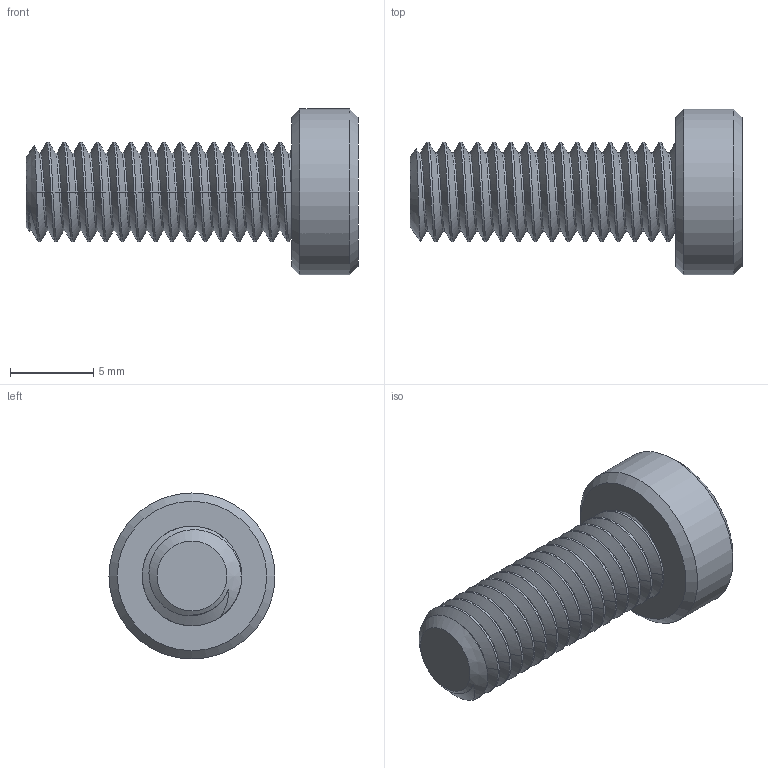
import cadquery as cq
import math

head_diameter = 10.0
head_height = 4.0
head_chamfer = 0.5

shank_length = 16.0
major_diameter = 6.0
root_diameter = 4.7
tip_diameter = 4.2

pitch = 1.0
crest_width = pitch / 8
root_width = pitch / 8
first_crest = 0.56
groove_clearance = 0.04

major_radius = major_diameter / 2
root_radius = root_diameter / 2
tip_radius = tip_diameter / 2
thread_depth = major_radius - root_radius
tip_cone_length = thread_depth



def make_head():
    """Head disc chamfered on both rims."""
    disc = cq.Workplane("XY").workplane(offset=shank_length).circle(head_diameter / 2).extrude(head_height)
    return disc.edges("%CIRCLE").chamfer(head_chamfer)


def make_shank_blank():
    """Plain shank with a coned tip."""
    return (
        cq.Workplane("XZ")
        .polyline([
            (0, 0),
            (tip_radius, 0),
            (major_radius, tip_cone_length),
            (major_radius, shank_length),
            (0, shank_length),
        ])
        .close()
        .revolve(360, (0, 0), (0, 1))
    )


def make_groove_turn():
    """One turn of the groove cutter, starting on the +X side with its middle at Z = 0.

    Four helical faces join the corners of the groove section; flat faces close the two ends.
    """
    half_root = root_width / 2
    half_mouth = (pitch - crest_width) / 2
    flank_slope = (half_mouth - half_root) / thread_depth
    outer_radius = major_radius + groove_clearance
    half_outer = half_mouth + flank_slope * groove_clearance
    corners = [
        (root_radius, -half_root),
        (outer_radius, -half_outer),
        (outer_radius, half_outer),
        (root_radius, half_root),
    ]
    helices = [
        cq.Wire.makeHelix(pitch, pitch, radius).translate(cq.Vector(0, 0, height))
        for radius, height in corners
    ]
    next_helices = helices[1:] + helices[:1]
    faces = [cq.Face.makeRuledSurface(helix, neighbour) for helix, neighbour in zip(helices, next_helices)]
    for end_height in (0, pitch):
        end_points = [cq.Vector(radius, 0, height + end_height) for radius, height in corners]
        faces.append(cq.Face.makeFromWires(cq.Wire.makePolygon(end_points, close=True)))
    return cq.Workplane(cq.Solid.makeSolid(cq.Shell.makeShell(faces)))


def cut_thread(blank):
    """Cut the groove turn by turn, from before the tip to past the head end of the shank."""
    groove_turn = make_groove_turn()
    first_start = first_crest - 1.5 * pitch
    turn_count = math.ceil((shank_length - first_start) / pitch) + 1
    threaded = blank
    for turn in range(turn_count):
        start = first_start + turn * pitch
        threaded = threaded.cut(groove_turn.translate((0, 0, start)), clean=False)
    return threaded


screw = cut_thread(make_shank_blank()).union(make_head())

result = screw.rotate((0, 0, 0), (0, 0, 1), -90).rotate((0, 0, 0), (0, 1, 0), 90)